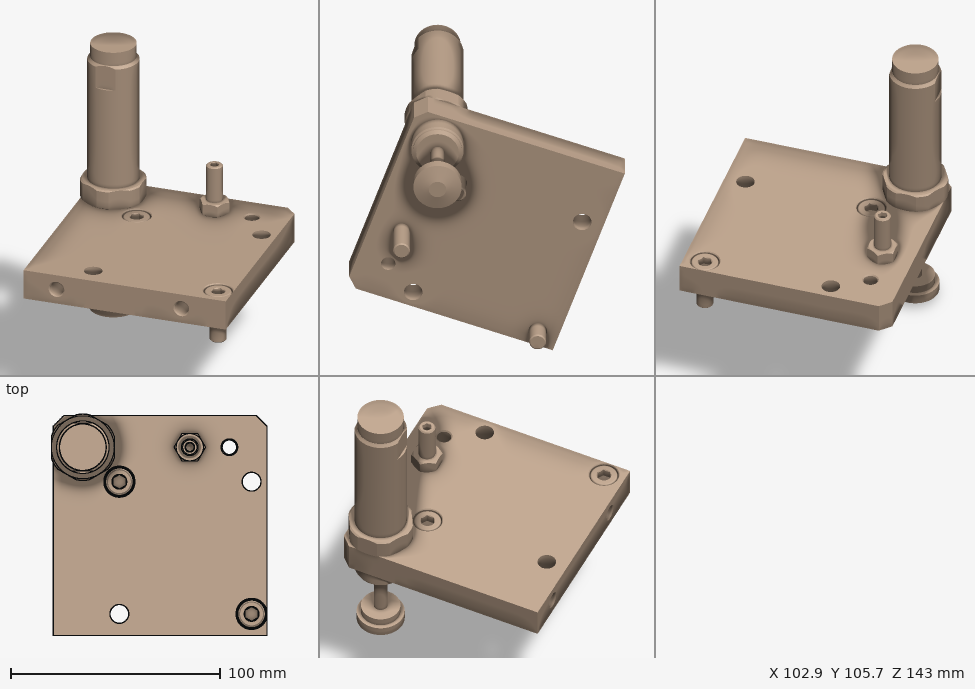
import cadquery as cq
import math

PLATE_LENGTH = 102.1
PLATE_WIDTH = 105.0
PLATE_THICKNESS = 15.0
CORNER_CHAMFER = 5.1

PATTERN_PITCH = 63.0
PATTERN_LEFT = 31.6
PATTERN_FRONT = 10.3
CLEARANCE_RADIUS = 4.5
COUNTERBORE_RADIUS = 7.0
COUNTERBORE_CHAMFER = 0.5
COUNTERBORE_DEPTH = 8.5
PATTERN_RIGHT = PATTERN_LEFT + PATTERN_PITCH
PATTERN_REAR = PATTERN_FRONT + PATTERN_PITCH
SCREW_PLACES = [(PATTERN_LEFT, PATTERN_REAR), (PATTERN_RIGHT, PATTERN_FRONT)]
OPEN_HOLE_PLACES = [(PATTERN_LEFT, PATTERN_FRONT), (PATTERN_RIGHT, PATTERN_REAR)]

REAR_ROW_Y = PLATE_WIDTH - 15.2
DAMPER_X = 14.2
STOP_X = 65.2
SPARE_HOLE_X = 84.1

TAP_RADIUS = 3.5
TAP_MOUTH_RADIUS = 4.0
TAP_MOUTH_DEPTH = TAP_MOUTH_RADIUS - TAP_RADIUS
SIDE_HOLE_LEFT = 16.6
SIDE_HOLE_PLACES = [SIDE_HOLE_LEFT, SIDE_HOLE_LEFT + PATTERN_PITCH]
SIDE_HOLE_Z = PLATE_THICKNESS / 2
SIDE_HOLE_DEPTH = 14.3
DRILL_TIP_ANGLE = 118.0

HOUSING_RADIUS = 25.0 / 2
HOUSING_BOTTOM = -10.2
HOUSING_TOP = 96.5
OVERALL_HEIGHT = 143.0
CAP_RADIUS = 22.2 / 2
CAP_HEIGHT = 7.0
SHOULDER_CHAMFER = 1.3
NOSE_RADIUS = 10.2
NOSE_CONE_HEIGHT = 1.3
NOSE_COLLAR_RADIUS = 11.7
NOSE_COLLAR_HEIGHT = 1.0
NOSE_CHAMFER_HEIGHT = 0.6
FLAT_DISTANCE = 11.5
FLAT_HEIGHT = 12.5

ROD_RADIUS = 3.3
ROD_ENGAGEMENT = 7.2
BUMPER_TIP_Z = HOUSING_TOP - OVERALL_HEIGHT
BUMPER_TIP_RADIUS = 4.1
BUMPER_CONE_HEIGHT = 2.5
BUMPER_RIM_RADIUS = 23.0 / 2
BUMPER_RIM_HEIGHT = 4.7
BUMPER_NECK_RADIUS = 9.5
BUMPER_NECK_HEIGHT = 4.0

LOCK_NUT_FLATS = 30.0
LOCK_NUT_RADIUS = 15.9
LOCK_NUT_HEIGHT = 10.0
LOCK_NUT_CHAMFER_RADIAL = 0.9
LOCK_NUT_CHAMFER_HEIGHT = 0.6

STOP_RADIUS = 4.0
STOP_BOTTOM = -20.0
STOP_LENGTH = 60.0
STOP_CHAMFER = 0.6
STOP_SOCKET_FLATS = 4.0
STOP_SOCKET_DEPTH = 5.7
STOP_NUT_FLATS = 13.0
STOP_NUT_HEIGHT = 6.5
STOP_NUT_CHAMFER_RADIAL = 1.0
STOP_NUT_CHAMFER_HEIGHT = 0.7

SHANK_RADIUS = 4.0
SHANK_BOTTOM = -11.3
SHANK_CHAMFER = 0.6
HEAD_RADIUS = 6.6
HEAD_HEIGHT = 8.0
HEAD_FILLET = 0.9
SOCKET_FLATS = 6.1
SOCKET_DEPTH = 4.0


def hex_corner_radius(flats):
    """Centre-to-corner distance of a hexagon with the given width across flats."""
    return flats / math.sqrt(3)


def hex_prism(flats, height, bottom, turn=0.0):
    """Hexagonal prism on the Z axis; at turn = 0 two corners lie on the X axis."""
    prism = cq.Workplane("XY").polygon(6, 2 * hex_corner_radius(flats)).extrude(height)
    return prism.rotate((0, 0, 0), (0, 0, 1), turn).translate((0, 0, bottom))


def disc(radius, height, bottom, x=0.0, y=0.0):
    """Upright cylinder."""
    return cq.Workplane("XY", origin=(x, y, bottom)).circle(radius).extrude(height)


def revolved(profile):
    """Solid of revolution about Z from (radius, z) points; the axis closes the outline."""
    return cq.Workplane("XZ").polyline(profile).close().revolve(360, (0, 0, 0), (0, 1, 0))


def drill_tip_height(radius):
    """Height of the cone left by a drill of the given radius."""
    return radius / math.tan(math.radians(DRILL_TIP_ANGLE / 2))


def hex_socket(flats, depth, top, pointed):
    """Hexagonal recess with a countersunk mouth and a flat or pointed (conical) floor."""
    corner = hex_corner_radius(flats)
    lead = corner - flats / 2
    mouth = revolved([(0, top), (corner, top), (flats / 2, top - lead), (0, top - lead)])
    socket = hex_prism(flats, depth, top - depth, turn=30).union(mouth)
    if pointed:
        floor = top - depth
        tip = drill_tip_height(flats / 2)
        socket = socket.union(revolved([(0, floor), (flats / 2, floor), (0, floor - tip)]))
    return socket


def hex_nut(flats, height, body_radius, chamfer_radial, chamfer_height, bore_radius, turn):
    """Nut standing on Z = 0, its hexagon trimmed by a turned, chamfered envelope."""
    inner = body_radius - chamfer_radial
    envelope = revolved([
        (0, 0),
        (inner, 0),
        (body_radius, chamfer_height),
        (body_radius, height - chamfer_height),
        (inner, height),
        (0, height),
    ])
    return hex_prism(flats, height, 0, turn).intersect(envelope).cut(disc(bore_radius, height, 0))


def tapped_hole(depth, tip_height):
    """Cutter along +Z from Z = 0: chamfered mouth, straight bore and drill tip."""
    return revolved([
        (0, 0),
        (TAP_MOUTH_RADIUS, 0),
        (TAP_RADIUS, TAP_MOUTH_DEPTH),
        (TAP_RADIUS, depth),
        (0, depth + tip_height),
    ])


def make_plate():
    plate = (
        cq.Workplane("XY")
        .box(PLATE_LENGTH, PLATE_WIDTH, PLATE_THICKNESS, centered=False)
        .edges("|Z and >Y")
        .chamfer(CORNER_CHAMFER)
    )

    for x, y in SCREW_PLACES + OPEN_HOLE_PLACES:
        plate = plate.cut(disc(CLEARANCE_RADIUS, PLATE_THICKNESS, 0, x, y))
    floor = PLATE_THICKNESS - COUNTERBORE_DEPTH
    counterbore = revolved([
        (0, floor),
        (COUNTERBORE_RADIUS, floor),
        (COUNTERBORE_RADIUS, PLATE_THICKNESS - COUNTERBORE_CHAMFER),
        (COUNTERBORE_RADIUS + COUNTERBORE_CHAMFER, PLATE_THICKNESS),
        (0, PLATE_THICKNESS),
    ])
    for x, y in SCREW_PLACES:
        plate = plate.cut(counterbore.translate((x, y, 0)))

    plate = plate.cut(disc(HOUSING_RADIUS, PLATE_THICKNESS, 0, DAMPER_X, REAR_ROW_Y))
    plate = plate.cut(disc(STOP_RADIUS, PLATE_THICKNESS, 0, STOP_X, REAR_ROW_Y))

    spare = tapped_hole(PLATE_THICKNESS, 0).rotate((0, 0, 0), (1, 0, 0), 180)
    plate = plate.cut(spare.translate((SPARE_HOLE_X, REAR_ROW_Y, PLATE_THICKNESS)))

    side_hole = tapped_hole(SIDE_HOLE_DEPTH, drill_tip_height(TAP_RADIUS))
    side_hole = side_hole.rotate((0, 0, 0), (1, 0, 0), -90)
    for x in SIDE_HOLE_PLACES:
        plate = plate.cut(side_hole.translate((x, 0, SIDE_HOLE_Z)))
    return plate


def make_housing():
    shoulder = HOUSING_TOP - CAP_HEIGHT
    collar_bottom = HOUSING_BOTTOM + NOSE_CONE_HEIGHT
    collar_top = collar_bottom + NOSE_COLLAR_HEIGHT
    housing = revolved([
        (0, HOUSING_BOTTOM),
        (NOSE_RADIUS, HOUSING_BOTTOM),
        (NOSE_COLLAR_RADIUS, collar_bottom),
        (NOSE_COLLAR_RADIUS, collar_top),
        (HOUSING_RADIUS, collar_top + NOSE_CHAMFER_HEIGHT),
        (HOUSING_RADIUS, shoulder - SHOULDER_CHAMFER),
        (HOUSING_RADIUS - SHOULDER_CHAMFER, shoulder),
        (CAP_RADIUS, shoulder),
        (CAP_RADIUS, HOUSING_TOP),
        (0, HOUSING_TOP),
    ])

    flat_depth = HOUSING_RADIUS - FLAT_DISTANCE
    flat_centre = FLAT_DISTANCE + flat_depth / 2
    for side in (-1, 1):
        cutter = (
            cq.Workplane("XY", origin=(0, side * flat_centre, shoulder - FLAT_HEIGHT))
            .rect(2 * HOUSING_RADIUS, flat_depth)
            .extrude(FLAT_HEIGHT)
        )
        housing = housing.cut(cutter)

    housing = housing.cut(disc(ROD_RADIUS, ROD_ENGAGEMENT, HOUSING_BOTTOM))
    return housing.translate((DAMPER_X, REAR_ROW_Y, 0))


def make_piston_rod():
    rim_bottom = BUMPER_TIP_Z + BUMPER_CONE_HEIGHT
    rim_top = rim_bottom + BUMPER_RIM_HEIGHT
    neck_top = rim_top + BUMPER_NECK_HEIGHT
    rod_top = HOUSING_BOTTOM + ROD_ENGAGEMENT
    rod = revolved([
        (0, BUMPER_TIP_Z),
        (BUMPER_TIP_RADIUS, BUMPER_TIP_Z),
        (BUMPER_RIM_RADIUS, rim_bottom),
        (BUMPER_RIM_RADIUS, rim_top),
        (BUMPER_NECK_RADIUS, rim_top),
        (BUMPER_NECK_RADIUS, neck_top),
        (ROD_RADIUS, neck_top),
        (ROD_RADIUS, rod_top),
        (0, rod_top),
    ])
    return rod.translate((DAMPER_X, REAR_ROW_Y, 0))


def make_lock_nut():
    nut = hex_nut(
        LOCK_NUT_FLATS, LOCK_NUT_HEIGHT, LOCK_NUT_RADIUS,
        LOCK_NUT_CHAMFER_RADIAL, LOCK_NUT_CHAMFER_HEIGHT, HOUSING_RADIUS, turn=30,
    )
    return nut.translate((DAMPER_X, REAR_ROW_Y, PLATE_THICKNESS))


def make_stop_screw():
    screw = disc(STOP_RADIUS, STOP_LENGTH, STOP_BOTTOM).faces("<Z or >Z").chamfer(STOP_CHAMFER)
    top = STOP_BOTTOM + STOP_LENGTH
    screw = screw.cut(hex_socket(STOP_SOCKET_FLATS, STOP_SOCKET_DEPTH, top, pointed=True))
    return screw.translate((STOP_X, REAR_ROW_Y, 0))


def make_stop_nut():
    nut = hex_nut(
        STOP_NUT_FLATS, STOP_NUT_HEIGHT, hex_corner_radius(STOP_NUT_FLATS),
        STOP_NUT_CHAMFER_RADIAL, STOP_NUT_CHAMFER_HEIGHT, STOP_RADIUS, turn=0,
    )
    return nut.translate((STOP_X, REAR_ROW_Y, PLATE_THICKNESS))


def make_cap_screw(x, y):
    seat = PLATE_THICKNESS - COUNTERBORE_DEPTH
    head = disc(HEAD_RADIUS, HEAD_HEIGHT, seat).faces(">Z").edges().fillet(HEAD_FILLET)
    shank = disc(SHANK_RADIUS, seat - SHANK_BOTTOM, SHANK_BOTTOM).faces("<Z").chamfer(SHANK_CHAMFER)
    screw = head.union(shank).cut(hex_socket(SOCKET_FLATS, SOCKET_DEPTH, seat + HEAD_HEIGHT, pointed=False))
    return screw.translate((x, y, 0))


plate = make_plate()
housing = make_housing()
piston_rod = make_piston_rod()
lock_nut = make_lock_nut()
stop_screw = make_stop_screw()
stop_nut = make_stop_nut()
cap_screws = [make_cap_screw(x, y) for x, y in SCREW_PLACES]

result = cq.Compound.makeCompound([
    plate.val(),
    housing.val(),
    piston_rod.val(),
    lock_nut.val(),
    stop_screw.val(),
    stop_nut.val(),
    *[screw.val() for screw in cap_screws],
])